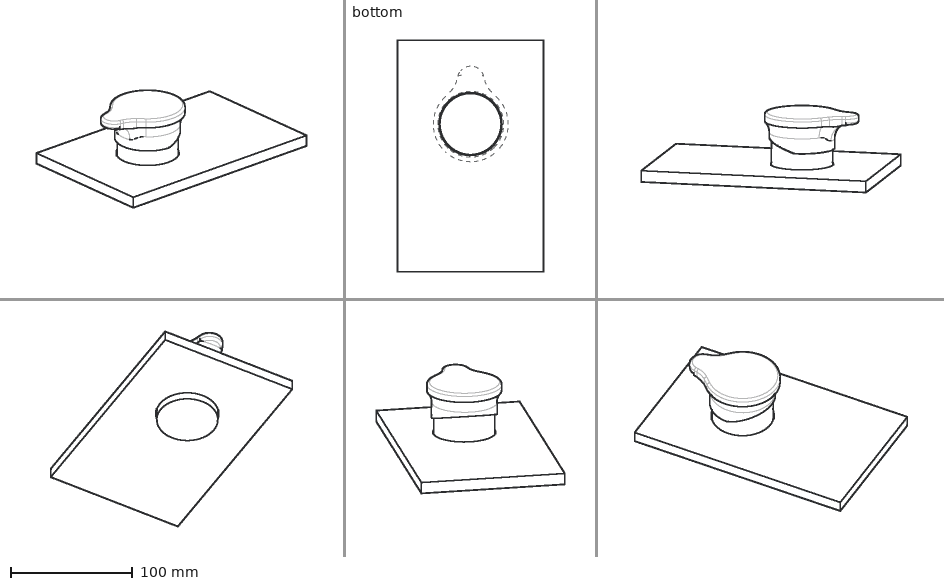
import cadquery as cq
import math

PANEL_WIDTH = 120.0
PANEL_LENGTH = 190.0
PANEL_THICKNESS = 9.5
PANEL_BOTTOM = 6.0
HOLE_RADIUS = 25.8

AXIS_Y = -26.2

BARREL_RADIUS = 25.0

KNOB_TOP = 58.9
CAP_THICKNESS = 7.5
CAP_BOTTOM = KNOB_TOP - CAP_THICKNESS
SKIRT_BOTTOM = 29.0
SKIRT_REAR_BOTTOM = 38.0

CAP_RADIUS = 30.8
TIP_RADIUS = 11.0
TIP_REACH = 47.7
TIP_Y = TIP_RADIUS - TIP_REACH
NECK_RADIUS = 20.0
NECK_X = 30.8
NECK_Y = -41.0
TOP_ROUND = 2.0
BOTTOM_ROUND = 2.3

SKIRT_RADIUS = 27.0
FLARE_RADIUS = 14.0
FLARE_CENTRE_RADIUS = SKIRT_RADIUS + FLARE_RADIUS
SIDE_OVERHANG = FLARE_CENTRE_RADIUS - CAP_RADIUS
SIDE_FLARE_HEIGHT = math.sqrt(FLARE_RADIUS**2 - SIDE_OVERHANG**2)
BARREL_TOP = CAP_BOTTOM - SIDE_FLARE_HEIGHT
BLEND_STEPS = 6
CUT_MARGIN = 3.8


def internal_tangent(from_y, radius):
    """Points where a flank line leaves a circle centred on x = 0 and meets the right neck circle."""
    dx = NECK_X
    dy = NECK_Y - from_y
    bearing = math.atan2(dy, dx)
    swing = math.acos((radius + NECK_RADIUS) / math.hypot(dx, dy))
    angle = bearing + swing if from_y > NECK_Y / 2 else bearing - swing
    ux, uy = math.cos(angle), math.sin(angle)
    leave = (radius * ux, from_y + radius * uy)
    meet = (NECK_X - NECK_RADIUS * ux, NECK_Y - NECK_RADIUS * uy)
    return leave, meet


def mirrored(point):
    return (-point[0], point[1])


LOBE_END, NECK_START = internal_tangent(0, CAP_RADIUS)
TIP_START, NECK_END = internal_tangent(TIP_Y, TIP_RADIUS)


def neck_middle():
    """Point halfway along the right neck arc."""
    mid_x = (NECK_START[0] + NECK_END[0]) / 2 - NECK_X
    mid_y = (NECK_START[1] + NECK_END[1]) / 2 - NECK_Y
    scale = NECK_RADIUS / math.hypot(mid_x, mid_y)
    return (NECK_X + mid_x * scale, NECK_Y + mid_y * scale)


def teardrop(bottom, height):
    neck = neck_middle()
    return (
        cq.Workplane("XY", origin=(0, 0, bottom))
        .moveTo(*LOBE_END)
        .lineTo(*NECK_START)
        .threePointArc(neck, NECK_END)
        .lineTo(*TIP_START)
        .threePointArc((0, -TIP_REACH), mirrored(TIP_START))
        .lineTo(*mirrored(NECK_END))
        .threePointArc(mirrored(neck), mirrored(NECK_START))
        .lineTo(*mirrored(LOBE_END))
        .threePointArc((0, CAP_RADIUS), LOBE_END)
        .close()
        .extrude(height)
    )


def cylinder(radius, bottom, top):
    return cq.Workplane("XY", origin=(0, 0, bottom)).circle(radius).extrude(top - bottom)


def flare_height(angle):
    """Height of a rolling-ball flare whose ball rests on the cap edge; angle is measured from -Y."""
    x = FLARE_CENTRE_RADIUS * math.sin(angle)
    y = -FLARE_CENTRE_RADIUS * math.cos(angle)
    ux, uy = LOBE_END[0] / CAP_RADIUS, LOBE_END[1] / CAP_RADIUS
    along_flank = uy * x - ux * y
    flank_length = math.dist(LOBE_END, NECK_START)
    if along_flank < flank_length:
        gap = ux * x + uy * y - CAP_RADIUS
    else:
        gap = max(0, NECK_RADIUS - math.hypot(x - NECK_X, y - NECK_Y))
    return math.sqrt(FLARE_RADIUS**2 - gap**2)


def flare_section(angle):
    """Outline, in the radial plane at this angle from -Y, of the space under the flare."""
    level = CAP_BOTTOM - flare_height(angle)
    floor = CAP_BOTTOM - FLARE_RADIUS - CUT_MARGIN
    outer = FLARE_CENTRE_RADIUS
    diagonal = FLARE_RADIUS * math.sqrt(0.5)
    radial = cq.Plane(
        origin=(0, 0, 0),
        xDir=(math.sin(angle), -math.cos(angle), 0),
        normal=(-math.cos(angle), -math.sin(angle), 0),
    )
    return (
        cq.Workplane(radial)
        .moveTo(SKIRT_RADIUS - CUT_MARGIN, floor)
        .lineTo(SKIRT_RADIUS - CUT_MARGIN, level)
        .lineTo(SKIRT_RADIUS, level)
        .threePointArc((outer - diagonal, level + diagonal), (outer, level + FLARE_RADIUS))
        .lineTo(outer, floor)
        .close()
    )


def flare_sweep(start, end):
    """Space under a stretch of flare that keeps its height, from one angle to another."""
    degrees = math.degrees(end - start)
    return flare_section(start).revolve(degrees, (0, 0, 0), (0, 1, 0))


def flare_blend(start, end):
    """Space under the stretch of flare that changes height along the neck."""
    step = (end - start) / BLEND_STEPS
    wires = [flare_section(start + i * step).wire().val() for i in range(BLEND_STEPS + 1)]
    return cq.Workplane(cq.Solid.makeLoft(wires))


def handle_angle():
    """Angle from -Y at which the flare's ball centre passes under the neck edge onto the handle."""
    reach = math.hypot(NECK_X, NECK_Y)
    cosine = (FLARE_CENTRE_RADIUS**2 + reach**2 - NECK_RADIUS**2) / (2 * FLARE_CENTRE_RADIUS * reach)
    return math.atan2(NECK_X, -NECK_Y) - math.acos(cosine)


def make_flare():
    handle = handle_angle()
    side = math.atan2(LOBE_END[0], -LOBE_END[1])
    flare = teardrop(CAP_BOTTOM - FLARE_RADIUS, FLARE_RADIUS + BOTTOM_ROUND)
    flare = flare.intersect(cylinder(FLARE_CENTRE_RADIUS, SKIRT_BOTTOM, KNOB_TOP))
    flare = flare.cut(cylinder(SKIRT_RADIUS, SKIRT_BOTTOM, KNOB_TOP))
    flare = flare.cut(flare_sweep(-handle, handle))
    flare = flare.cut(flare_sweep(side, 2 * math.pi - side))
    blend = flare_blend(handle, side)
    return flare.cut(blend).cut(blend.mirror("YZ"))


def make_knob():
    cap = teardrop(CAP_BOTTOM, CAP_THICKNESS)
    cap = cap.faces(">Z").edges().fillet(TOP_ROUND)
    cap = cap.faces("<Z").edges().fillet(BOTTOM_ROUND)
    knob = cap.union(make_flare()).union(cylinder(SKIRT_RADIUS, SKIRT_BOTTOM, CAP_BOTTOM + BOTTOM_ROUND))
    rear_cut = (
        cq.Workplane("YZ")
        .moveTo(0, SKIRT_BOTTOM)
        .lineTo(SKIRT_RADIUS, SKIRT_REAR_BOTTOM)
        .lineTo(SKIRT_RADIUS + CUT_MARGIN, SKIRT_REAR_BOTTOM)
        .lineTo(SKIRT_RADIUS + CUT_MARGIN, SKIRT_BOTTOM)
        .close()
        .extrude(SKIRT_RADIUS + CUT_MARGIN, both=True)
    )
    socket = cylinder(BARREL_RADIUS, SKIRT_BOTTOM, BARREL_TOP)
    return knob.cut(rear_cut).cut(socket).translate((0, AXIS_Y, 0))


def make_barrel():
    return cylinder(BARREL_RADIUS, 0, BARREL_TOP).translate((0, AXIS_Y, 0))


def make_panel():
    panel_top = PANEL_BOTTOM + PANEL_THICKNESS
    panel = cq.Workplane("XY", origin=(0, 0, PANEL_BOTTOM)).rect(PANEL_WIDTH, PANEL_LENGTH)
    hole = cylinder(HOLE_RADIUS, PANEL_BOTTOM, panel_top).translate((0, AXIS_Y, 0))
    return panel.extrude(PANEL_THICKNESS).cut(hole)


panel = make_panel()
barrel = make_barrel()
knob = make_knob()
result = cq.Compound.makeCompound([panel.val(), barrel.val(), *knob.solids().vals()])